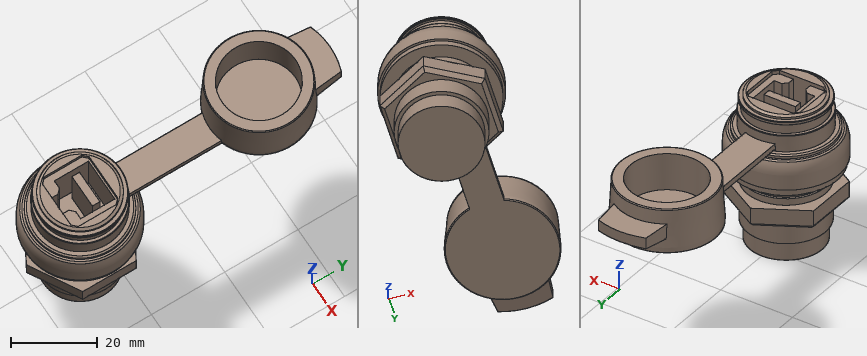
import cadquery as cq
import math

OVERALL_LENGTH = 83.0

TAIL_DIA = 20.0
THREAD_DIA = 21.8
NECK_DIA = 22.0
GROOVE_DIA = 20.7
FLANGE_DIA = 29.5
SHOULDER_DIA = 25.7
COLLAR_SEAT_DIA = 21.0
LIP_DIA = 22.25
NOSE_DIA = 20.0

TAIL_TOP = 5.2
GROOVE_BOTTOM = 17.8
GROOVE_TOP = 18.7
FLANGE_BOTTOM = 22.75
FLANGE_TOP = 30.2
SHOULDER_TOP = 31.1
LIP_BOTTOM = 38.35
LIP_TOP = 39.3
HOUSING_TOP = 40.2
FLANGE_ROUND_BOTTOM = 26.7

FLANGE_ROUND_WIDTH = 0.8
BEVEL_WIDTH = 0.5
BEVEL_HEIGHT = BEVEL_WIDTH / 2
NOSE_BEVEL_WIDTH = 0.75
NOSE_BEVEL_HEIGHT = NOSE_BEVEL_WIDTH / 2
LIP_CHAMFER = 0.2

JACK_WIDTH = 14.8
JACK_DEPTH = 12.8
JACK_CORNER = 1.25
JACK_RECESS = 1.0
JACK_HEIGHT = 14.9
JACK_TOP = HOUSING_TOP - JACK_RECESS
JACK_BOTTOM = JACK_TOP - JACK_HEIGHT
PORT_WIDTH = 11.3
PORT_BACK = 5.9
PORT_FRONT = -3.4
PORT_DEPTH = 12.0
LATCH_WIDTH = 4.7
LATCH_CHAMFER = 1.2
TONGUE_WIDTH = 8.8
TONGUE_BACK = 2.65
TONGUE_FRONT = 0.6

GASKET_DIA = 28.4
GASKET_HEIGHT = 1.8

NUT_ACROSS_FLATS = 25.3
NUT_BOTTOM = 10.6
NUT_TOP = 15.9
NUT_CHAMFER = 1.0

COLLAR_TOP = 35.7
COLLAR_TOP_DIA = 22.8
COLLAR_BOTTOM_DIA = 22.7
COLLAR_CHAMFER = 0.2
STRAP_WIDTH = 8.3
STRAP_BOTTOM = 31.7
STRAP_TOP = 33.2
STRAP_FILLET = 0.5
CAP_Y = 48.8
CAP_TOP = 43.6
CAP_TOP_DIA = 25.8
CAP_BASE_DIA = 26.9
CAP_CAVITY_DIA = 20.0
CAP_FLOOR = 33.5
CAP_CHAMFER = 0.25
TAB_TIP_Y = OVERALL_LENGTH - FLANGE_DIA / 2
TAB_TIP_WIDTH = 13.3
TAB_ROOT_WIDTH = 15.6
TAB_TOP = 39.7
TAB_TIP_BOTTOM = 36.85
TAB_ROOT_BOTTOM = 35.0


def cylinder(diameter, bottom, top):
    return cq.Workplane("XY").workplane(offset=bottom).circle(diameter / 2).extrude(top - bottom)


def revolve_profile(profile):
    """Turn a closed radius-height outline about the Z axis."""
    return profile.close().revolve(360, (0, 0, 0), (0, 1, 0))


def jack_envelope(bottom, top):
    """Rectangular block with its four upright corners cut off."""
    block = cq.Workplane("XY").workplane(offset=bottom).rect(JACK_WIDTH, JACK_DEPTH).extrude(top - bottom)
    return block.edges("|Z").chamfer(JACK_CORNER)


def make_housing():
    flange_radius = FLANGE_DIA / 2
    flange_edge_radius = flange_radius - FLANGE_ROUND_WIDTH
    shoulder_radius = SHOULDER_DIA / 2
    lip_radius = LIP_DIA / 2
    profile = (
        cq.Workplane("XZ")
        .moveTo(0, 0)
        .lineTo(TAIL_DIA / 2, 0)
        .lineTo(TAIL_DIA / 2, TAIL_TOP)
        .lineTo(THREAD_DIA / 2, TAIL_TOP)
        .lineTo(THREAD_DIA / 2, GROOVE_BOTTOM)
        .lineTo(GROOVE_DIA / 2, GROOVE_BOTTOM)
        .lineTo(NECK_DIA / 2, GROOVE_TOP)
        .lineTo(NECK_DIA / 2, FLANGE_BOTTOM)
        .lineTo(flange_radius, FLANGE_BOTTOM)
        .lineTo(flange_radius, FLANGE_ROUND_BOTTOM)
        .tangentArcPoint((flange_edge_radius, FLANGE_TOP - BEVEL_HEIGHT), relative=False)
        .lineTo(flange_edge_radius - BEVEL_WIDTH, FLANGE_TOP)
        .lineTo(shoulder_radius, FLANGE_TOP)
        .lineTo(shoulder_radius, SHOULDER_TOP - BEVEL_HEIGHT)
        .lineTo(shoulder_radius - BEVEL_WIDTH, SHOULDER_TOP)
        .lineTo(COLLAR_SEAT_DIA / 2, SHOULDER_TOP)
        .lineTo(COLLAR_SEAT_DIA / 2, LIP_BOTTOM)
        .lineTo(lip_radius - LIP_CHAMFER, LIP_BOTTOM)
        .lineTo(lip_radius, LIP_BOTTOM + LIP_CHAMFER)
        .lineTo(lip_radius, LIP_TOP - LIP_CHAMFER)
        .lineTo(lip_radius - LIP_CHAMFER, LIP_TOP)
        .lineTo(NOSE_DIA / 2, LIP_TOP)
        .lineTo(NOSE_DIA / 2, HOUSING_TOP - NOSE_BEVEL_HEIGHT)
        .lineTo(NOSE_DIA / 2 - NOSE_BEVEL_WIDTH, HOUSING_TOP)
        .lineTo(0, HOUSING_TOP)
    )
    return revolve_profile(profile).cut(jack_envelope(JACK_BOTTOM, HOUSING_TOP))


def make_jack():
    latch_half = LATCH_WIDTH / 2
    port_half = PORT_WIDTH / 2
    front = -JACK_DEPTH / 2
    port = (
        cq.Workplane("XY")
        .workplane(offset=JACK_TOP)
        .polyline([
            (-port_half, PORT_BACK),
            (port_half, PORT_BACK),
            (port_half, PORT_FRONT),
            (latch_half + LATCH_CHAMFER, PORT_FRONT),
            (latch_half, PORT_FRONT - LATCH_CHAMFER),
            (latch_half, front),
            (-latch_half, front),
            (-latch_half, PORT_FRONT - LATCH_CHAMFER),
            (-latch_half - LATCH_CHAMFER, PORT_FRONT),
            (-port_half, PORT_FRONT),
        ])
        .close()
        .extrude(-PORT_DEPTH)
    )
    tongue = (
        cq.Workplane("XY")
        .workplane(offset=JACK_TOP)
        .center(0, (TONGUE_BACK + TONGUE_FRONT) / 2)
        .rect(TONGUE_WIDTH, TONGUE_BACK - TONGUE_FRONT)
        .extrude(-PORT_DEPTH)
    )
    return jack_envelope(JACK_BOTTOM, JACK_TOP).cut(port.cut(tongue))


def make_gasket():
    top = FLANGE_BOTTOM
    return cylinder(GASKET_DIA, top - GASKET_HEIGHT, top).cut(cylinder(NECK_DIA, top - GASKET_HEIGHT, top))


def make_nut():
    hexagon = (
        cq.Workplane("XY")
        .workplane(offset=NUT_BOTTOM)
        .polygon(6, NUT_ACROSS_FLATS / math.cos(math.pi / 6))
        .extrude(NUT_TOP - NUT_BOTTOM)
        .rotate((0, 0, 0), (0, 0, 1), 90)
        .faces("<Z")
        .chamfer(NUT_CHAMFER)
    )
    return hexagon.cut(cylinder(THREAD_DIA, NUT_BOTTOM, NUT_TOP))


def make_tab():
    """Pull tab with tapering sides, a rounded tip and a sloping underside."""
    tip_radius = TAB_TIP_Y - CAP_Y
    tip_half = TAB_TIP_WIDTH / 2
    root_half = TAB_ROOT_WIDTH / 2
    corner_y = CAP_Y + math.sqrt(tip_radius**2 - tip_half**2)
    root_y = CAP_Y + CAP_TOP_DIA / 4
    outline = (
        cq.Workplane("XY")
        .workplane(offset=TAB_ROOT_BOTTOM)
        .moveTo(-root_half, root_y)
        .lineTo(-tip_half, corner_y)
        .threePointArc((0, TAB_TIP_Y), (tip_half, corner_y))
        .lineTo(root_half, root_y)
        .close()
        .extrude(TAB_TOP - TAB_ROOT_BOTTOM)
    )
    side = (
        cq.Workplane("YZ")
        .polyline([
            (root_y, TAB_ROOT_BOTTOM),
            (TAB_TIP_Y, TAB_TIP_BOTTOM),
            (TAB_TIP_Y, TAB_TOP),
            (root_y, TAB_TOP),
        ])
        .close()
        .extrude(TAB_ROOT_WIDTH / 2, both=True)
    )
    return outline.intersect(side)


def make_cap():
    shell = revolve_profile(
        cq.Workplane("XZ")
        .moveTo(0, STRAP_BOTTOM)
        .lineTo(CAP_BASE_DIA / 2 - CAP_CHAMFER, STRAP_BOTTOM)
        .lineTo(CAP_BASE_DIA / 2, STRAP_BOTTOM + CAP_CHAMFER)
        .lineTo(CAP_BASE_DIA / 2, STRAP_TOP)
        .lineTo(CAP_TOP_DIA / 2, CAP_TOP - CAP_CHAMFER)
        .lineTo(CAP_TOP_DIA / 2 - CAP_CHAMFER, CAP_TOP)
        .lineTo(0, CAP_TOP)
    ).translate((0, CAP_Y, 0))
    collar = revolve_profile(
        cq.Workplane("XZ")
        .moveTo(0, SHOULDER_TOP)
        .lineTo(COLLAR_BOTTOM_DIA / 2, SHOULDER_TOP)
        .lineTo(COLLAR_TOP_DIA / 2, COLLAR_TOP - COLLAR_CHAMFER)
        .lineTo(COLLAR_TOP_DIA / 2 - COLLAR_CHAMFER, COLLAR_TOP)
        .lineTo(0, COLLAR_TOP)
    )
    strap = (
        cq.Workplane("XY")
        .workplane(offset=STRAP_BOTTOM)
        .center(0, CAP_Y / 2)
        .rect(STRAP_WIDTH, CAP_Y)
        .extrude(STRAP_TOP - STRAP_BOTTOM)
    )
    cavity = cylinder(CAP_CAVITY_DIA, CAP_FLOOR, CAP_TOP).translate((0, CAP_Y, 0))
    bore = cylinder(COLLAR_SEAT_DIA, SHOULDER_TOP, COLLAR_TOP)
    joint = cq.selectors.BoxSelector(
        (-STRAP_WIDTH / 2, 0, STRAP_BOTTOM - STRAP_FILLET / 2),
        (STRAP_WIDTH / 2, COLLAR_TOP_DIA / 2, STRAP_BOTTOM + STRAP_FILLET / 2),
    )
    tether = strap.union(collar).edges(joint).edges("not |Y").fillet(STRAP_FILLET)
    return shell.union(make_tab()).union(tether).cut(cavity).cut(bore)


housing = make_housing()
jack = make_jack()
gasket = make_gasket()
nut = make_nut()
cap = make_cap()

result = cq.Compound.makeCompound([housing.val(), jack.val(), gasket.val(), nut.val(), cap.val()])